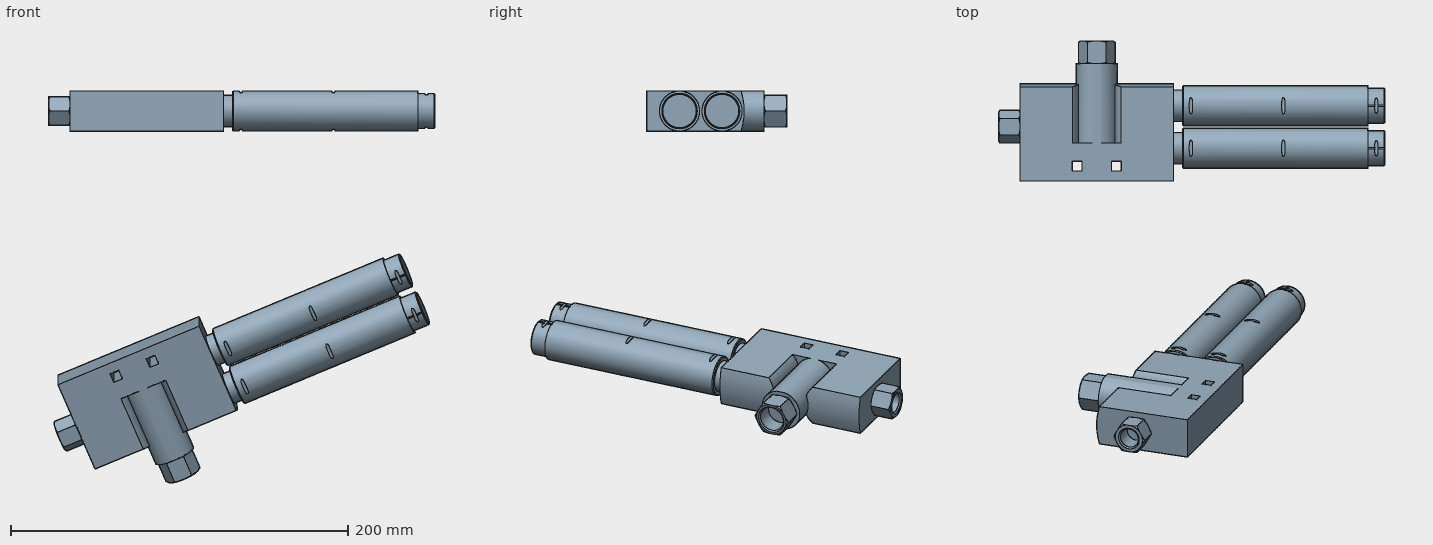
import cadquery as cq
import math


OVERALL_LENGTH = 228.8
OVERALL_WIDTH = 83.1

BLOCK_LENGTH = 91.0
BLOCK_HEIGHT = 24.0
BLOCK_EDGE_Y = 55.9
BLOCK_CREST_Y = 57.8
HALF_HEIGHT = BLOCK_HEIGHT / 2

SQUARE_SIDE = 5.6
SQUARE_SPACING = 23.3
SQUARE_Y = 8.9

BARREL_X = BLOCK_LENGTH / 2
BARREL_RADIUS = 12.3
BARREL_END_Y = 69.6
GROOVE_START_Y = 22.6
GROOVE_HALF_WIDTH = 14.4
VALLEY_OFFSET = 10.8
GROOVE_WALL_BULGE = 0.5

SIDE_HEX_FLATS = 17.0
SIDE_BORE = 11.45
SIDE_HEX_LENGTH = 12.6
SIDE_PORT_Y = 32.3
REAR_HEX_FLATS = 19.0
REAR_BORE = 14.95
REAR_HEX_LENGTH = OVERALL_WIDTH - BARREL_END_Y
BORE_DEPTH = 12.0
BORE_CHAMFER = 0.85
HEX_END_MARGIN = 0.1
HEX_CHAMFER_ANGLE = math.radians(30)

SILENCER_YS = (19.5, 44.7)
NECK_DIAMETER = 18.9
BODY_DIAMETER = 23.8
CAP_DIAMETER = 21.0
BODY_START_X = 96.2
BODY_END_X = 206.2
CAP_END_X = OVERALL_LENGTH - SIDE_HEX_LENGTH
EDGE_CHAMFER = 0.6

SLOT_RADIUS = 1.0
BODY_SLOT_XS = (101.3, 156.1)
CAP_SLOT_X = 211.2
SLIT_WIDTH = 0.8
SLIT_DEPTH = 0.5


def make_block():
    """Block with a rear face that bulges along X, pierced by two square holes."""
    block = (
        cq.Workplane("YZ")
        .moveTo(0, -HALF_HEIGHT)
        .lineTo(BLOCK_EDGE_Y, -HALF_HEIGHT)
        .threePointArc((BLOCK_CREST_Y, 0), (BLOCK_EDGE_Y, HALF_HEIGHT))
        .lineTo(0, HALF_HEIGHT)
        .close()
        .extrude(BLOCK_LENGTH)
    )
    for side in (-1, 1):
        hole = cq.Workplane("XY").box(SQUARE_SIDE, SQUARE_SIDE, BLOCK_HEIGHT)
        block = block.cut(hole.translate((BARREL_X + side * SQUARE_SPACING / 2, SQUARE_Y, 0)))
    return block


def make_barrel():
    """Barrel along Y, trimmed flat to the block height."""
    length = BARREL_END_Y - GROOVE_START_Y
    barrel = cq.Workplane("XZ").circle(BARREL_RADIUS).extrude(-length)
    trim = cq.Workplane("XY").box(4 * BARREL_RADIUS, 2 * length, BLOCK_HEIGHT)
    return barrel.intersect(trim).translate((BARREL_X, GROOVE_START_Y, 0))


def make_groove(side, face):
    """Groove beside the barrel: a bulging outer wall that meets the barrel in a valley."""
    flat_half_width = math.sqrt(BARREL_RADIUS**2 - HALF_HEIGHT**2)
    valley_z = math.sqrt(BARREL_RADIUS**2 - VALLEY_OFFSET**2)
    wall_run = GROOVE_HALF_WIDTH - VALLEY_OFFSET
    wall_rise = HALF_HEIGHT - valley_z
    wall_length = math.hypot(wall_run, wall_rise)
    wall_middle = (
        (GROOVE_HALF_WIDTH + VALLEY_OFFSET) / 2 - GROOVE_WALL_BULGE * wall_rise / wall_length,
        (HALF_HEIGHT + valley_z) / 2 + GROOVE_WALL_BULGE * wall_run / wall_length,
    )

    def place(point):
        return (side * point[0], face * point[1])

    return (
        cq.Workplane("XZ")
        .moveTo(*place((flat_half_width, HALF_HEIGHT)))
        .lineTo(*place((GROOVE_HALF_WIDTH, HALF_HEIGHT)))
        .threePointArc(place(wall_middle), place((VALLEY_OFFSET, valley_z)))
        .lineTo(*place((flat_half_width, valley_z)))
        .close()
        .extrude(GROOVE_START_Y - BLOCK_CREST_Y)
        .translate((BARREL_X, GROOVE_START_Y, 0))
    )


def make_port(flats, length):
    """Hexagon nut standing on Z = 0, with its corners chamfered at both ends."""
    corner_radius = flats / math.sqrt(3)
    end_radius = flats / 2 + HEX_END_MARGIN
    corner_cut = corner_radius - end_radius
    drop = corner_cut * math.tan(HEX_CHAMFER_ANGLE)
    hexagon = cq.Workplane("XY").polygon(6, 2 * corner_radius).extrude(length)
    envelope = cq.Workplane("XY").circle(corner_radius).extrude(length)
    envelope = envelope.faces("<Z or >Z").chamfer(drop, corner_cut)
    return hexagon.intersect(envelope)


def make_bore(diameter, length):
    """Bore that enters the nut from its free end at Z = length, with a lead-in chamfer."""
    radius = diameter / 2
    return (
        cq.Workplane("XZ")
        .moveTo(0, length)
        .lineTo(radius + BORE_CHAMFER, length)
        .lineTo(radius, length - BORE_CHAMFER)
        .lineTo(radius, length - BORE_DEPTH)
        .lineTo(0, length - BORE_DEPTH)
        .close()
        .revolve(360, (0, 0), (0, 1))
    )


def face_rear(shape):
    """Turn a port from +Z to +Y and set it on the barrel end."""
    return shape.rotate((0, 0, 0), (1, 0, 0), -90).translate((BARREL_X, BARREL_END_Y, 0))


def face_side(shape):
    """Turn a port from +Z to -X and set it on the block's side face."""
    turned = shape.rotate((0, 0, 0), (0, 0, 1), 90).rotate((0, 0, 0), (0, 1, 0), -90)
    return turned.translate((0, SIDE_PORT_Y, 0))


def cylinder_along_x(diameter, start, end):
    return cq.Workplane("YZ").workplane(offset=start).circle(diameter / 2).extrude(end - start)


def make_silencer():
    """Neck, body and end cap on the X axis, with slots cut into top and bottom."""
    neck = cylinder_along_x(NECK_DIAMETER, BLOCK_LENGTH, BODY_START_X)
    body = cylinder_along_x(BODY_DIAMETER, BODY_START_X, BODY_END_X).faces("<X").chamfer(EDGE_CHAMFER)
    cap = cylinder_along_x(CAP_DIAMETER, BODY_END_X, CAP_END_X).faces(">X").chamfer(EDGE_CHAMFER)
    silencer = neck.union(body).union(cap)

    slots = [(x, BODY_DIAMETER) for x in BODY_SLOT_XS] + [(CAP_SLOT_X, CAP_DIAMETER)]
    cap_length = CAP_END_X - BODY_END_X
    slit = cq.Workplane("XY").box(cap_length, SLIT_WIDTH, 2 * SLIT_DEPTH)
    for face in (-1, 1):
        for x, diameter in slots:
            slot = cq.Workplane("XZ").circle(SLOT_RADIUS).extrude(diameter / 2, both=True)
            silencer = silencer.cut(slot.translate((x, 0, face * diameter / 2)))
        silencer = silencer.cut(slit.translate((BODY_END_X + cap_length / 2, 0, face * CAP_DIAMETER / 2)))
    return silencer


result = make_block()
for side in (-1, 1):
    for face in (-1, 1):
        result = result.cut(make_groove(side, face))
result = result.union(make_barrel())
result = result.union(face_rear(make_port(REAR_HEX_FLATS, REAR_HEX_LENGTH)))
result = result.union(face_side(make_port(SIDE_HEX_FLATS, SIDE_HEX_LENGTH)))
result = result.cut(face_rear(make_bore(REAR_BORE, REAR_HEX_LENGTH)))
result = result.cut(face_side(make_bore(SIDE_BORE, SIDE_HEX_LENGTH)))
for silencer_y in SILENCER_YS:
    result = result.union(make_silencer().translate((0, silencer_y, 0)))